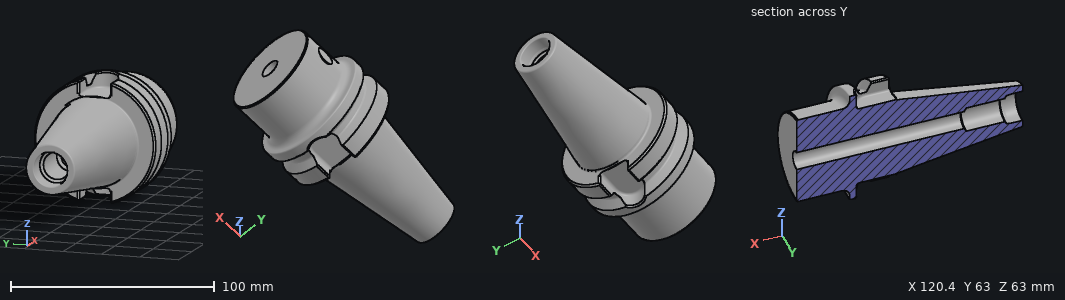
import cadquery as cq
import math

LENGTH = 120.4

TAPER_LENGTH = 65.4
TAPER_RATE = 7 / 24
GAUGE_RADIUS = 22.3
TAPER_END_RADIUS = GAUGE_RADIUS - TAPER_LENGTH * TAPER_RATE / 2
TAPER_FILLET = 1.0
ROOT_FILLET = 1.0

FLANGE_START = 67.3
FLANGE_END = 92.3
FLANGE_DIAMETER = 63.0
FLANGE_RADIUS = FLANGE_DIAMETER / 2
FLANGE_CHAMFER = 1.0
FLANGE_BACK_FILLET = 0.7
GROOVE_RADIUS = 26.5
GROOVE_FILLET = 1.0
GROOVE_START = 77.0
GROOVE_END = 86.7
GROOVE_ANGLE = math.radians(60)
GROOVE_RUN = (FLANGE_RADIUS - GROOVE_RADIUS) / math.tan(GROOVE_ANGLE)

NOSE_RADIUS = 24.9
NOSE_FILLET = 3.9
NOSE_CHAMFER = 0.6

PILOT_RADIUS = 8.7
PILOT_DEPTH = 6.7
PILOT_FILLET = 0.6
STEP_RADIUS = 8.4
STEP_LENGTH = 1.0
THREAD_RADIUS = 6.9
THREAD_DEPTH = 30.1
THROUGH_DIAMETER = 10.0
THROUGH_RADIUS = THROUGH_DIAMETER / 2
DRILL_POINT_ANGLE = math.radians(59)

SLOT_WIDTH = 16.1
SLOT_FLOOR = 22.6
SLOT_ARC_CENTRE = 80.4
SLOT_FILLET = 1.5
SLOT_CHAMFER = 0.8
SLOT_OVERCUT = 1.2

SCREW_RADIUS = 4.9
SCREW_X = 107.2
SCREW_LENGTH = 12.0


def make_blank():
    """The turned outside of the holder, solid through."""
    root_radius = GAUGE_RADIUS + ROOT_FILLET
    root_mid = ROOT_FILLET * math.sqrt(0.5)
    nose_mid = NOSE_FILLET * (1 - math.sqrt(0.5))
    profile = (
        cq.Workplane("XY")
        .lineTo(0, TAPER_END_RADIUS)
        .lineTo(TAPER_LENGTH, GAUGE_RADIUS)
        .lineTo(FLANGE_START - ROOT_FILLET, GAUGE_RADIUS)
        .threePointArc(
            (FLANGE_START - ROOT_FILLET + root_mid, root_radius - root_mid),
            (FLANGE_START, root_radius),
        )
        .lineTo(FLANGE_START, FLANGE_RADIUS - FLANGE_CHAMFER)
        .lineTo(FLANGE_START + FLANGE_CHAMFER, FLANGE_RADIUS)
        .lineTo(GROOVE_START, FLANGE_RADIUS)
        .lineTo(GROOVE_START + GROOVE_RUN, GROOVE_RADIUS)
        .lineTo(GROOVE_END - GROOVE_RUN, GROOVE_RADIUS)
        .lineTo(GROOVE_END, FLANGE_RADIUS)
        .lineTo(FLANGE_END - FLANGE_BACK_FILLET, FLANGE_RADIUS)
        .radiusArc((FLANGE_END, FLANGE_RADIUS - FLANGE_BACK_FILLET), FLANGE_BACK_FILLET)
        .lineTo(FLANGE_END, NOSE_RADIUS + NOSE_FILLET)
        .threePointArc(
            (FLANGE_END + nose_mid, NOSE_RADIUS + nose_mid),
            (FLANGE_END + NOSE_FILLET, NOSE_RADIUS),
        )
        .lineTo(LENGTH - NOSE_CHAMFER, NOSE_RADIUS)
        .lineTo(LENGTH, NOSE_RADIUS - NOSE_CHAMFER)
        .lineTo(LENGTH, 0)
        .close()
    )
    blank = profile.revolve(360, (0, 0, 0), (1, 0, 0))
    groove_floor = cq.selectors.BoxSelector(
        (GROOVE_START + GROOVE_RUN / 2, -FLANGE_RADIUS, -FLANGE_RADIUS),
        (GROOVE_END - GROOVE_RUN / 2, FLANGE_RADIUS, FLANGE_RADIUS),
    )
    blank = blank.faces("<X").edges().fillet(TAPER_FILLET)
    return blank.edges(groove_floor).fillet(GROOVE_FILLET)


def make_bore():
    """The stepped bore: pilot, thread hole with drill point, through hole."""
    step_start = PILOT_DEPTH + STEP_LENGTH
    step_end = step_start + STEP_LENGTH
    cone_run = (STEP_RADIUS - THREAD_RADIUS) / math.tan(DRILL_POINT_ANGLE)
    point_run = (THREAD_RADIUS - THROUGH_RADIUS) / math.tan(DRILL_POINT_ANGLE)
    profile = (
        cq.Workplane("XY")
        .lineTo(0, PILOT_RADIUS + PILOT_FILLET)
        .radiusArc((PILOT_FILLET, PILOT_RADIUS), -PILOT_FILLET)
        .lineTo(PILOT_DEPTH, PILOT_RADIUS)
        .lineTo(step_start, STEP_RADIUS)
        .lineTo(step_end, STEP_RADIUS)
        .lineTo(step_end + cone_run, THREAD_RADIUS)
        .lineTo(THREAD_DEPTH, THREAD_RADIUS)
        .lineTo(THREAD_DEPTH + point_run, THROUGH_RADIUS)
        .lineTo(LENGTH, THROUGH_RADIUS)
        .lineTo(LENGTH, 0)
        .close()
    )
    return profile.revolve(360, (0, 0, 0), (1, 0, 0))


def make_slot():
    """Cutter for the +Z drive slot: round end, filleted floor, flared mouth."""
    height = FLANGE_RADIUS - SLOT_FLOOR + SLOT_OVERCUT
    straight = SLOT_ARC_CENTRE - FLANGE_START
    half_width = SLOT_WIDTH / 2
    channel = (
        cq.Workplane("XY", origin=(FLANGE_START, 0, SLOT_FLOOR))
        .moveTo(0, -half_width)
        .lineTo(straight, -half_width)
        .threePointArc((straight + half_width, 0), (straight, half_width))
        .lineTo(0, half_width)
        .close()
        .extrude(height)
    )
    channel = channel.faces("<Z").edges("not <X").fillet(SLOT_FILLET)
    flare = (
        cq.Workplane("XY", origin=(FLANGE_START, 0, SLOT_FLOOR + SLOT_FILLET))
        .moveTo(0, -half_width - SLOT_CHAMFER)
        .lineTo(SLOT_CHAMFER, -half_width)
        .lineTo(SLOT_CHAMFER, half_width)
        .lineTo(0, half_width + SLOT_CHAMFER)
        .close()
        .extrude(height - SLOT_FILLET)
    )
    return channel.union(flare)


def cut_slots(body):
    """Cut both drive slots and chamfer their edges on the outer diameter of the flange."""
    slot = make_slot()
    for angle in (0, 180):
        body = body.cut(slot.rotate((0, 0, 0), (1, 0, 0), angle))
    half_width = SLOT_WIDTH / 2
    edge_height = math.sqrt(FLANGE_RADIUS**2 - half_width**2)
    rim_x = (FLANGE_START + FLANGE_CHAMFER + GROOVE_START) / 2
    end_x = SLOT_ARC_CENTRE + half_width
    edges = []
    for z_sign in (1, -1):
        for y_sign in (1, -1):
            rim_point = (rim_x, y_sign * half_width, z_sign * edge_height)
            edges.append(body.edges(cq.selectors.NearestToPointSelector(rim_point)).val())
        end_point = (end_x, 0, z_sign * FLANGE_RADIUS)
        edges.append(body.edges(cq.selectors.NearestToPointSelector(end_point)).val())
    return body.newObject(edges).chamfer(SLOT_CHAMFER)


def make_screw():
    """Plain set screw lying along Y, its outer end level with the nose."""
    return (
        cq.Workplane("XZ", origin=(SCREW_X, NOSE_RADIUS, 0))
        .circle(SCREW_RADIUS)
        .extrude(SCREW_LENGTH)
    )


screw = make_screw()
holder = cut_slots(make_blank().cut(make_bore()).cut(screw))
result = cq.Compound.makeCompound([holder.solids().val(), screw.val()])